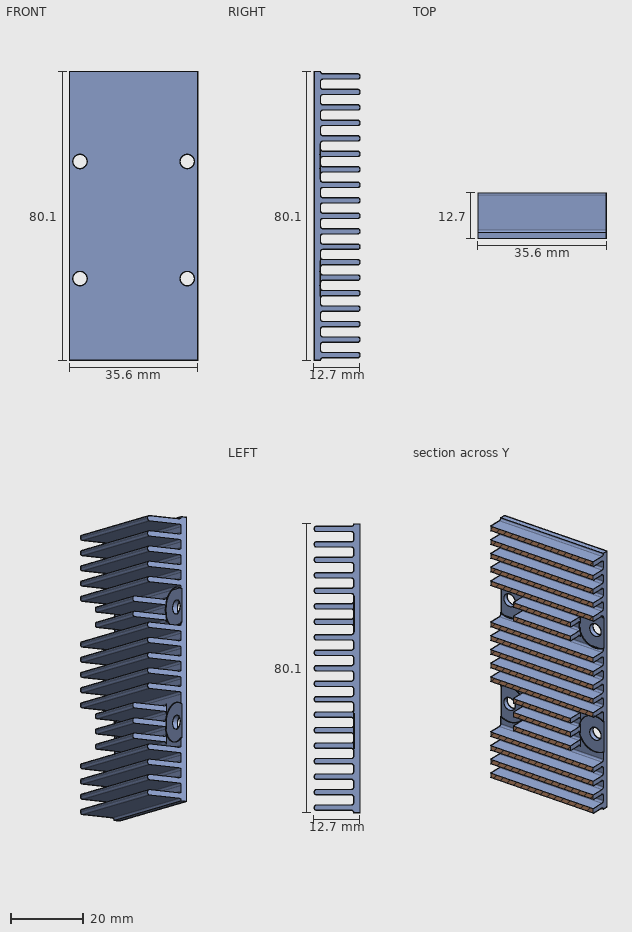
import cadquery as cq

width = 35.56
depth = 12.7
height = 80.07
plate_thickness = 1.78

fin_count = 19
fin_pitch = 4.29
fin_thickness = 1.52
fin_tip_radius = 0.64
fin_root_radius = 0.6
first_fin_z = -fin_pitch * (fin_count - 1) / 2

hole_diameter = 3.91
hole_spacing_x = 29.72
upper_hole_z = 15.05
lower_hole_z = -17.4
spot_face_diameter = 11.11
spot_face_depth = 0.2

shortened_fin_groups = ((4, 6), (12, 13))
shortened_fin_half_length = 9.9


def make_plate():
    """Flat plate with its front face on Y = 0, centred in X and Z."""
    return cq.Workplane("XY").box(width, plate_thickness, height, centered=(True, False, True))


def fin_z(index):
    """Height of the middle of a fin."""
    return first_fin_z + index * fin_pitch


def add_fins(body):
    """Full-width fins with rounded tips, evenly spaced about the middle of the plate."""
    fin = (
        cq.Workplane("XY")
        .box(width, depth, fin_thickness, centered=(True, False, True))
        .edges("|X and >Y")
        .fillet(fin_tip_radius)
    )
    for index in range(fin_count):
        body = body.union(fin.translate((0, 0, fin_z(index))))
    return body


def round_fin_roots(body):
    """Fillet both sides of every fin where it meets the back of the plate."""
    margin = plate_thickness / 10
    half_fin_stack = fin_z(fin_count - 1) + fin_thickness / 2
    root_band = cq.selectors.BoxSelector(
        (-width, plate_thickness - margin, -half_fin_stack - margin),
        (width, plate_thickness + margin, half_fin_stack + margin),
    )
    return body.edges("|X").edges(root_band).fillet(fin_root_radius)


def shorten_fins(body):
    """Cut the fin groups beside the mounting holes back to the plate at both ends."""
    end_length = width / 2 - shortened_fin_half_length
    end_middle_x = shortened_fin_half_length + end_length / 2
    for first, last in shortened_fin_groups:
        cutter = cq.Workplane("XY").box(
            end_length,
            depth - plate_thickness,
            (last - first + 1) * fin_pitch,
            centered=(True, False, True),
        )
        group_z = (fin_z(first) + fin_z(last)) / 2
        for x in (-end_middle_x, end_middle_x):
            body = body.cut(cutter.translate((x, plate_thickness, group_z)))
    return body


def cylinder_along_y(x, z, diameter, start_y):
    """Cylinder running from start_y to the back face of the plate."""
    axis_start = cq.Vector(x, start_y, z)
    length = plate_thickness - start_y
    return cq.Workplane(cq.Solid.makeCylinder(diameter / 2, length, axis_start, cq.Vector(0, 1, 0)))


def cut_mounting_holes(body):
    spot_face_y = plate_thickness - spot_face_depth
    for x in (-hole_spacing_x / 2, hole_spacing_x / 2):
        for z in (lower_hole_z, upper_hole_z):
            body = body.cut(cylinder_along_y(x, z, spot_face_diameter, spot_face_y))
            body = body.cut(cylinder_along_y(x, z, hole_diameter, 0))
    return body


finned_plate = round_fin_roots(add_fins(make_plate()))
result = cut_mounting_holes(shorten_fins(finned_plate))